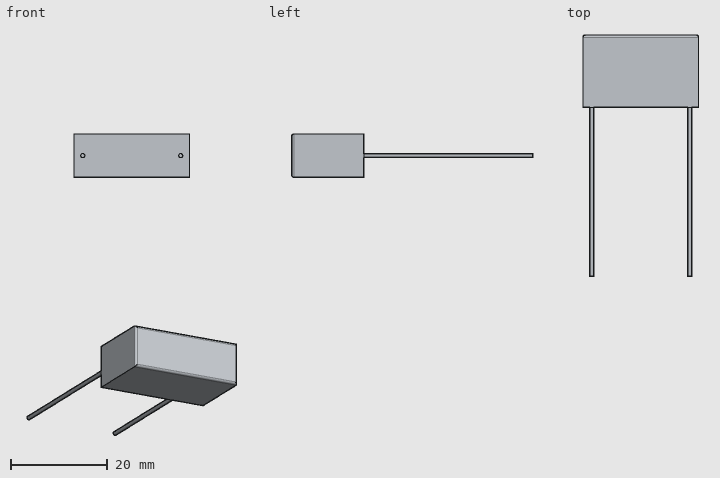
import cadquery as cq

total_length = 50.0
body_width = 24.0
body_length = 15.0
body_height = 9.0
edge_radius = 0.5

lead_diameter = 0.85
lead_pitch = 20.3
lead_length = total_length - body_length


def make_body():
    """Rectangular capacitor body behind the lead face, rounded around its far end."""
    block = cq.Workplane("XY").box(
        body_width, body_length, body_height, centered=(True, False, True)
    )
    return block.faces(">Y").edges().fillet(edge_radius)


def make_lead(x):
    """Straight round lead that butts against the lead face and runs along -Y."""
    return cq.Workplane("XZ").center(x, 0).circle(lead_diameter / 2).extrude(lead_length)


body = make_body()
leads = [make_lead(side * lead_pitch / 2) for side in (-1, 1)]

result = cq.Compound.makeCompound([body.val(), *[lead.val() for lead in leads]])